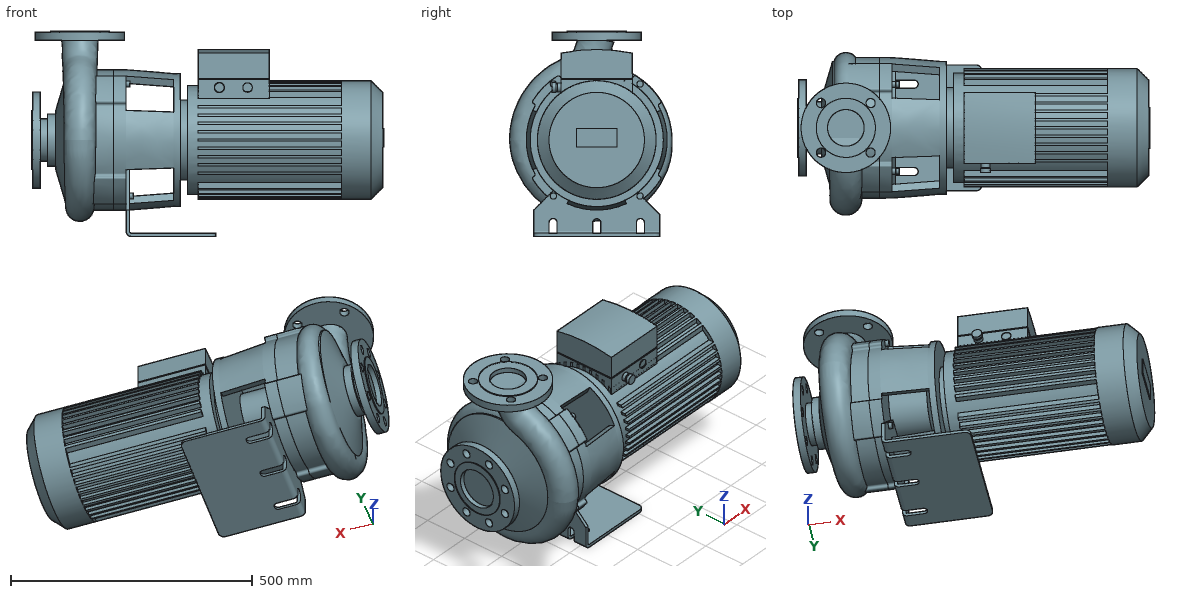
import cadquery as cq
import math


SUCTION_FLANGE_BACK = 18.0
SUCTION_COLLAR_START = 33.0
CONE_START = 49.5
CONE_END = 72.0
VOLUTE_X = 100.0
LANTERN_START = 169.0
WINDOW_START = 195.5
WINDOW_END = 294.0
LANTERN_END = 308.0
MOTOR_BODY_START = 322.5
RIB_START = 345.0
FAN_COVER_START = 642.0
FAN_COVER_BEVEL = 24.0
FAN_COVER_END = 727.0
OVERALL_LENGTH = 729.5

RAISED_FACE_HEIGHT = 2.0
RAISED_FACE_DIA = 122.5
FLANGE_HOLE_DIA = 19.0
BORE_DEPTH = 11.0
SUCTION_FLANGE_DIA = 200.0
SUCTION_BORE_DIA = 89.0
SUCTION_HOLES = 8
SUCTION_HOLE_CIRCLE = 159.0
SUCTION_COLLAR_DIA = 109.0
DISCHARGE_FLANGE_DIA = 185.0
DISCHARGE_BORE_DIA = 76.0
DISCHARGE_HOLES = 4
DISCHARGE_HOLE_CIRCLE = 145.0
DISCHARGE_FACE_Z = 225.5
DISCHARGE_FLANGE_HEIGHT = 19.0

CONE_START_RADIUS = 60.5
CONE_END_RADIUS = 138.0
SMALL_TUBE_DIA = 50.0
SMALL_TUBE_OUTER_RADIUS = 156.0
LARGE_TUBE_DIA = 66.5
LARGE_TUBE_OUTER_RADIUS = 181.0
SPIRAL_STEPS = 8
SMALL_TUBE_SWEEP = 105.0
NECK_BEND_ANGLE = 70.0
NECK_STEPS = 16
NECK_TOP_Y = -1.5
NECK_TOP_LEAN = 0.2

RIM_RADIUS = 146.0
LOBE_RADIUS = 155.5
LOBE_HALF_ANGLE = 15.0
LOBE_FILLET = 4.5
LOBE_SPACING = 90.0
LOBE_ANGLES = (45.0, 135.0, 225.0, 315.0)

LANTERN_END_RADIUS = 138.0
LANTERN_WALL = 17.0
WINDOW_HALF_ANGLE = 20.0
HUB_DIA = 109.0
HUB_END = 276.0

BOLT_DIA = 13.0
BOLT_HEIGHT = 8.0
BOLT_Y = 90.0
BOLT_Z = 116.0
FOOT_THICKNESS = 7.0
FOOT_WIDTH = 261.0
FOOT_BOTTOM_Z = -200.0
FOOT_FRONT_SHOULDER_Z = -145.0
FOOT_REAR_SHOULDER_Z = -154.0
FOOT_TOP_Z = -58.0
FOOT_END = 381.5
FOOT_BEND_RADIUS = 11.0
FOOT_CORNER_RADIUS = 12.5
SLOT_WIDTH = 16.0
SLOT_PITCH = 90.5
SLOT_END_X = 249.5
SLOT_TOP_Z = -163.0

MOTOR_NECK_DIA = 166.0
MOTOR_BODY_DIA = 226.0
MOTOR_OUTER_DIA = 246.0
RIB_THICKNESS = 5.0
RIB_SPAN = 137.0
RIBS_PER_SIDE = 9
NAMEPLATE_WIDTH = 84.5
NAMEPLATE_HEIGHT = 38.0
NAMEPLATE_Z = 4.5

BOX_SIZE = 147.0
BOX_SEAT_Z = 80.0
BOX_EDGE_Z = 180.0
BOX_CROWN_Z = 187.5
LID_JOINT_Z = 125.5
LID_JOINT_SIZE = 1.5
ENTRY_Z = 109.0
GLAND_X = 389.0
KNOCKOUT_X = 447.0
KNOCKOUT_DIA = 20.0
KNOCKOUT_DEPTH = 1.5
GLAND_COLLAR_DIA = 19.0
GLAND_COLLAR_LENGTH = 8.0
GLAND_GROOVE_DIA = 16.0
GLAND_GROOVE_LENGTH = 3.0
GLAND_HEAD_DIA = 21.0
GLAND_HEAD_LENGTH = 8.0


def polar(radius, angle):
    """Point at an angle in degrees around a centre."""
    return radius * math.cos(math.radians(angle)), radius * math.sin(math.radians(angle))


def turned(points):
    """Solid of revolution about the shaft from (x, radius) points."""
    return cq.Workplane("XY").polyline(points).close().revolve(360, (0, 0), (1, 0))


def rod_x(start, end, dia, y=0.0, z=0.0):
    """Cylinder along the shaft direction."""
    return cq.Workplane("YZ", origin=(start, y, z)).circle(dia / 2).extrude(end - start)


def pipe_flange(plane, flange_dia, height, bore_dia, hole_circle, hole_count):
    """Blind flange with raised face and bolt holes, extruded back from its raised face."""
    flange = plane.workplane(offset=RAISED_FACE_HEIGHT).circle(flange_dia / 2)
    flange = flange.extrude(height - RAISED_FACE_HEIGHT)
    flange = flange.union(plane.circle(RAISED_FACE_DIA / 2).extrude(height))
    holes = plane.polarArray(hole_circle / 2, 180 / hole_count, 360, hole_count)
    flange = flange.cut(holes.circle(FLANGE_HOLE_DIA / 2).extrude(height))
    return flange.cut(plane.circle(bore_dia / 2).extrude(BORE_DEPTH))


def tube_section(y, z, tangent_y, tangent_z, dia):
    """Circular wire across the volute tube."""
    plane = cq.Plane((VOLUTE_X, y, z), xDir=(1, 0, 0), normal=(0, tangent_y, tangent_z))
    return cq.Workplane(plane).circle(dia / 2).wires().val()


def spiral():
    """Tube growing around the lower half, from the +Y side to the -Y side."""
    sections = []
    for step in range(SPIRAL_STEPS + 1):
        part = step / SPIRAL_STEPS
        angle = -180 * part
        dia = SMALL_TUBE_DIA + part * (LARGE_TUBE_DIA - SMALL_TUBE_DIA)
        outer = SMALL_TUBE_OUTER_RADIUS + part * (LARGE_TUBE_OUTER_RADIUS - SMALL_TUBE_OUTER_RADIUS)
        y, z = polar(outer - dia / 2, angle)
        tangent_y, tangent_z = polar(1, angle - 90)
        sections.append(tube_section(y, z, tangent_y, tangent_z, dia))
    return cq.Workplane(cq.Solid.makeLoft(sections))


def small_tube():
    """Tube of constant section from the +Y side over the top, into the discharge neck."""
    radius = SMALL_TUBE_OUTER_RADIUS - SMALL_TUBE_DIA / 2
    profile = cq.Workplane("XY", origin=(VOLUTE_X, radius, 0)).circle(SMALL_TUBE_DIA / 2)
    return profile.revolve(SMALL_TUBE_SWEEP, (0, -radius), (1, -radius))


def discharge_neck():
    """Tube that follows the volute on the -Y side, then swings up to the discharge flange."""
    radius = LARGE_TUBE_OUTER_RADIUS - LARGE_TUBE_DIA / 2
    start = 180
    bend = start - NECK_BEND_ANGLE
    points = [polar(radius, start), polar(radius, start - NECK_BEND_ANGLE / 2), polar(radius, bend)]
    arc = cq.Edge.makeThreePointArc(*[cq.Vector(VOLUTE_X, y, z) for y, z in points])
    bend_tangent = cq.Vector(0, *polar(1, bend - 90))
    top_z = DISCHARGE_FACE_Z - (DISCHARGE_FLANGE_HEIGHT + BORE_DEPTH) / 2
    top = cq.Vector(VOLUTE_X, NECK_TOP_Y, top_z)
    swing = cq.Edge.makeSpline(
        [cq.Vector(VOLUTE_X, *points[-1]), top],
        tangents=[bend_tangent, cq.Vector(0, NECK_TOP_LEAN, 1)],
    )
    path = cq.Wire.assembleEdges([arc, swing])
    sections = []
    for step in range(NECK_STEPS + 1):
        part = step / NECK_STEPS
        place = path.positionAt(part)
        tangent = path.tangentAt(part)
        dia = LARGE_TUBE_DIA + part**2 * (DISCHARGE_BORE_DIA - LARGE_TUBE_DIA)
        sections.append(tube_section(place.y, place.z, tangent.y, tangent.z, dia))
    return cq.Workplane(cq.Solid.makeLoft(sections))


def rim(start, end):
    """Disc with four rounded bolting lobes between the lantern arms."""
    outline = cq.Workplane("YZ", origin=(start, 0, 0))
    outline = outline.moveTo(*polar(RIM_RADIUS, LOBE_ANGLES[-1] + LOBE_HALF_ANGLE - 360))
    for angle in LOBE_ANGLES:
        outline = outline.threePointArc(
            polar(RIM_RADIUS, angle - LOBE_SPACING / 2), polar(RIM_RADIUS, angle - LOBE_HALF_ANGLE)
        )
        outline = outline.lineTo(*polar(LOBE_RADIUS, angle - LOBE_HALF_ANGLE))
        outline = outline.threePointArc(
            polar(LOBE_RADIUS, angle), polar(LOBE_RADIUS, angle + LOBE_HALF_ANGLE)
        )
        outline = outline.lineTo(*polar(RIM_RADIUS, angle + LOBE_HALF_ANGLE))
    return outline.close().extrude(end - start).edges("|X").fillet(LOBE_FILLET)


def make_casing():
    """Casing with suction nose, volute, discharge neck, both flanges and its half of the bolted rim."""
    suction = cq.Workplane("YZ")
    casing = pipe_flange(
        suction, SUCTION_FLANGE_DIA, SUCTION_FLANGE_BACK,
        SUCTION_BORE_DIA, SUCTION_HOLE_CIRCLE, SUCTION_HOLES,
    )
    nose = turned([
        (SUCTION_FLANGE_BACK, 0),
        (SUCTION_FLANGE_BACK, SUCTION_BORE_DIA / 2),
        (SUCTION_COLLAR_START, SUCTION_BORE_DIA / 2),
        (SUCTION_COLLAR_START, SUCTION_COLLAR_DIA / 2),
        (CONE_START, SUCTION_COLLAR_DIA / 2),
        (CONE_START, CONE_START_RADIUS),
        (CONE_END, CONE_END_RADIUS),
        (VOLUTE_X, CONE_END_RADIUS),
        (VOLUTE_X, 0),
    ])
    discharge = cq.Workplane("XY", origin=(VOLUTE_X, 0, DISCHARGE_FACE_Z)).transformed((180, 0, 0))
    discharge_flange = pipe_flange(
        discharge, DISCHARGE_FLANGE_DIA, DISCHARGE_FLANGE_HEIGHT,
        DISCHARGE_BORE_DIA, DISCHARGE_HOLE_CIRCLE, DISCHARGE_HOLES,
    )
    casing = casing.union(nose).union(rim(VOLUTE_X, LANTERN_START))
    casing = casing.union(small_tube()).union(spiral()).union(discharge_neck())
    return casing.union(discharge_flange)


def make_lantern():
    """Lantern with rim, tapered four-armed shell, end flange and inner hub."""
    shell = turned([
        (WINDOW_START, 0),
        (WINDOW_START, RIM_RADIUS),
        (WINDOW_END, LANTERN_END_RADIUS),
        (LANTERN_END, LANTERN_END_RADIUS),
        (LANTERN_END, 0),
    ])
    cavity = turned([
        (WINDOW_START, 0),
        (WINDOW_START, RIM_RADIUS - LANTERN_WALL),
        (WINDOW_END, LANTERN_END_RADIUS - LANTERN_WALL),
        (WINDOW_END, 0),
    ])
    shell = shell.cut(cavity)
    reach = 2 * RIM_RADIUS
    for angle in LOBE_ANGLES:
        window = cq.Workplane("YZ", origin=(WINDOW_START, 0, 0)).polyline([
            (0, 0), polar(reach, angle - WINDOW_HALF_ANGLE), polar(reach, angle + WINDOW_HALF_ANGLE),
        ]).close().extrude(WINDOW_END - WINDOW_START)
        shell = shell.cut(window)
    hub = rod_x(WINDOW_START, HUB_END, HUB_DIA)
    return rim(LANTERN_START, WINDOW_START).union(shell).union(hub)


def make_foot(lantern):
    """Foot bracket against the lantern rim, cut out around the lower lantern arm."""
    half = FOOT_WIDTH / 2
    front_chamfer = FOOT_TOP_Z - FOOT_FRONT_SHOULDER_Z
    rear_chamfer = FOOT_TOP_Z - FOOT_REAR_SHOULDER_Z
    profile = [
        (WINDOW_START, FOOT_TOP_Z),
        (WINDOW_START, FOOT_BOTTOM_Z),
        (FOOT_END, FOOT_BOTTOM_Z),
        (FOOT_END, FOOT_BOTTOM_Z + FOOT_THICKNESS),
        (WINDOW_START + FOOT_THICKNESS, FOOT_BOTTOM_Z + FOOT_THICKNESS),
        (WINDOW_START + FOOT_THICKNESS, FOOT_TOP_Z),
    ]
    foot = cq.Workplane("XZ").polyline(profile).close().extrude(half, both=True)
    foot = foot.edges("|Y and <X and <Z").fillet(FOOT_BEND_RADIUS)
    inner_bend = cq.selectors.NearestToPointSelector(
        (WINDOW_START + FOOT_THICKNESS, 0, FOOT_BOTTOM_Z + FOOT_THICKNESS)
    )
    foot = foot.edges("|Y").edges(inner_bend).fillet(FOOT_BEND_RADIUS - FOOT_THICKNESS)
    foot = foot.edges("|Z and >X").fillet(FOOT_CORNER_RADIUS)
    outline = cq.Workplane("YZ", origin=(WINDOW_START, 0, 0)).polyline([
        (-half, FOOT_BOTTOM_Z),
        (half, FOOT_BOTTOM_Z),
        (half, FOOT_REAR_SHOULDER_Z),
        (half - rear_chamfer, FOOT_TOP_Z),
        (front_chamfer - half, FOOT_TOP_Z),
        (-half, FOOT_FRONT_SHOULDER_Z),
    ]).close().extrude(FOOT_END - WINDOW_START)
    foot = foot.intersect(outline)
    for y in (-SLOT_PITCH, 0, SLOT_PITCH):
        round_x = SLOT_END_X - SLOT_WIDTH / 2
        round_z = SLOT_TOP_Z - SLOT_WIDTH / 2
        corner = cq.Workplane("XY").box(
            round_x - WINDOW_START, SLOT_WIDTH, round_z - FOOT_BOTTOM_Z, centered=(False, True, False)
        ).translate((WINDOW_START, y, FOOT_BOTTOM_Z))
        base_end = cq.Workplane("XY", origin=(round_x, y, FOOT_BOTTOM_Z))
        base_end = base_end.circle(SLOT_WIDTH / 2).extrude(FOOT_THICKNESS)
        top_end = rod_x(WINDOW_START, WINDOW_START + FOOT_THICKNESS, SLOT_WIDTH, y, round_z)
        foot = foot.cut(corner).cut(base_end).cut(top_end)
    return foot.cut(lantern)


def make_bolt(y, z):
    """Bolt head on the lantern rim, or on the foot plate at the two lower places."""
    seat = WINDOW_START if z > 0 else WINDOW_START + FOOT_THICKNESS
    return rod_x(seat, seat + BOLT_HEIGHT, BOLT_DIA, y, z)


def cooling_ribs():
    """Parallel ribs on all four sides, with tips on the outer motor diameter."""
    length = FAN_COVER_START - RIB_START
    ribs = cq.Workplane("YZ", origin=(RIB_START, 0, 0))
    pitch = RIB_SPAN / (RIBS_PER_SIDE - 1)
    offsets = [index * pitch - RIB_SPAN / 2 for index in range(RIBS_PER_SIDE)]
    upright = ribs.pushPoints([(y, 0) for y in offsets]).rect(RIB_THICKNESS, MOTOR_OUTER_DIA).extrude(length)
    level = ribs.pushPoints([(0, z) for z in offsets]).rect(MOTOR_OUTER_DIA, RIB_THICKNESS).extrude(length)
    return upright.union(level).intersect(rod_x(RIB_START, FAN_COVER_START, MOTOR_OUTER_DIA))


def make_motor():
    """Motor with neck, ribbed body, bevelled fan cover and nameplate."""
    outer = MOTOR_OUTER_DIA / 2
    body = turned([
        (LANTERN_END, 0),
        (LANTERN_END, MOTOR_NECK_DIA / 2),
        (MOTOR_BODY_START, MOTOR_NECK_DIA / 2),
        (MOTOR_BODY_START, MOTOR_BODY_DIA / 2),
        (FAN_COVER_START, MOTOR_BODY_DIA / 2),
        (FAN_COVER_START, outer),
        (FAN_COVER_END - FAN_COVER_BEVEL, outer),
        (FAN_COVER_END, outer - FAN_COVER_BEVEL),
        (FAN_COVER_END, 0),
    ])
    nameplate = cq.Workplane("YZ", origin=(FAN_COVER_END, 0, NAMEPLATE_Z))
    nameplate = nameplate.rect(NAMEPLATE_WIDTH, NAMEPLATE_HEIGHT).extrude(OVERALL_LENGTH - FAN_COVER_END)
    return body.union(cooling_ribs()).union(nameplate)


def rod_out(x, start, length, dia):
    """Cylinder pointing to -Y at the height of the cable entries."""
    return cq.Workplane("XZ", origin=(x, -start, ENTRY_Z)).circle(dia / 2).extrude(length)


def make_terminal_box(motor):
    """Box with a crowned lid and a cable gland, seated on the motor body."""
    half = BOX_SIZE / 2
    box = (
        cq.Workplane("YZ", origin=(RIB_START, 0, 0))
        .moveTo(-half, BOX_SEAT_Z)
        .lineTo(half, BOX_SEAT_Z)
        .lineTo(half, BOX_EDGE_Z)
        .threePointArc((0, BOX_CROWN_Z), (-half, BOX_EDGE_Z))
        .close()
        .extrude(BOX_SIZE)
    )
    joint = cq.Workplane("XY", origin=(RIB_START + half, 0, LID_JOINT_Z)).rect(BOX_SIZE, BOX_SIZE)
    neck = BOX_SIZE - 2 * LID_JOINT_SIZE
    box = box.cut(joint.rect(neck, neck).extrude(LID_JOINT_SIZE))
    box = box.cut(rod_out(KNOCKOUT_X, half - KNOCKOUT_DEPTH, KNOCKOUT_DEPTH, KNOCKOUT_DIA))
    groove_start = half + GLAND_COLLAR_LENGTH
    head_start = groove_start + GLAND_GROOVE_LENGTH
    box = box.union(rod_out(GLAND_X, half, GLAND_COLLAR_LENGTH, GLAND_COLLAR_DIA))
    box = box.union(rod_out(GLAND_X, groove_start, GLAND_GROOVE_LENGTH, GLAND_GROOVE_DIA))
    box = box.union(rod_out(GLAND_X, head_start, GLAND_HEAD_LENGTH, GLAND_HEAD_DIA))
    return box.cut(motor)


casing = make_casing()
lantern = make_lantern()
foot = make_foot(lantern)
bolts = [make_bolt(y, z) for y in (-BOLT_Y, BOLT_Y) for z in (-BOLT_Z, BOLT_Z)]
motor = make_motor()
terminal_box = make_terminal_box(motor)

result = cq.Compound.makeCompound([
    casing.solids().val(),
    lantern.solids().val(),
    foot.solids().val(),
    *[bolt.solids().val() for bolt in bolts],
    motor.solids().val(),
    terminal_box.solids().val(),
])